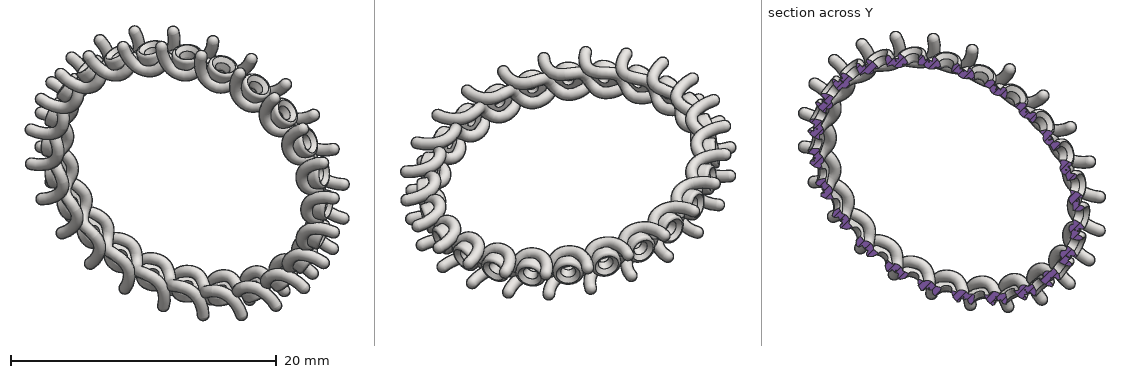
import cadquery as cq
import math

SETTING_COUNT = 24
WIRE_RADIUS = 0.45
TIP_RING_RADIUS = 12.295
LOOP_BOTTOM_RADIUS = 10.02
LOOP_RADIUS = 1.45
SIDE_OFFSET = 1.03
TIP_SHIFT_ANGLE = 0.35
BEND_ANGLE = 36
BEND_OFFSET = 0.76
CROSSING_RADIUS = 10.65
CLAW_START_ANGLE = 55
RIGHTWARD = cq.Vector(1, 0, 0)

COLLET_TOP = 11.43
COLLET_BOTTOM = 10.45
COLLET_OUTER_RADIUS = 1.15
COLLET_HOLE_RADIUS = 0.42
COLLET_ROUNDING = 0.25
THROAT_RADIUS = 0.57
THROAT_HEIGHT = 11.1
HOLE_TOP_HEIGHT = 10.6

PITCH_ANGLE = 360 / SETTING_COUNT
HALF_PITCH = PITCH_ANGLE / 2
CLAW_ANGLE = -HALF_PITCH - TIP_SHIFT_ANGLE
LOOP_CENTER_HEIGHT = LOOP_BOTTOM_RADIUS + LOOP_RADIUS


def polar_point(radius, angle, offset=0):
    """Point at a distance from the ring axis, at an angle clockwise from +Z."""
    turn = math.radians(angle)
    return cq.Vector(radius * math.sin(turn), offset, radius * math.cos(turn))


def half_wire():
    """Front half of a wire: bend from the middle plane, loop and rounded claw tip."""
    claw_tip = polar_point(TIP_RING_RADIUS, CLAW_ANGLE, -SIDE_OFFSET)
    loop_center = cq.Vector(0, -SIDE_OFFSET, LOOP_CENTER_HEIGHT)
    loop_start = loop_center + polar_point(LOOP_RADIUS, CLAW_START_ANGLE - 180)
    claw_direction = polar_point(1, CLAW_START_ANGLE - 90)
    loop_bottom = loop_center + polar_point(LOOP_RADIUS, 180)
    bend_inset = cq.Vector(0, SIDE_OFFSET - BEND_OFFSET, 0)
    bend_middle = loop_center + polar_point(LOOP_RADIUS, 180 - BEND_ANGLE) + bend_inset
    crossing = polar_point(CROSSING_RADIUS, HALF_PITCH)
    first_bend = cq.Edge.makeTangentArc(loop_bottom, RIGHTWARD, bend_middle)
    second_bend = cq.Edge.makeTangentArc(bend_middle, first_bend.tangentAt(1), crossing)
    loop = cq.Edge.makeTangentArc(loop_bottom, RIGHTWARD * -1, loop_start)
    claw = cq.Edge.makeTangentArc(loop_start, claw_direction, claw_tip)
    path = cq.Wire.assembleEdges([claw, loop, first_bend, second_bend])
    section = cq.Workplane(cq.Plane(claw_tip, (0, 1, 0), claw.tangentAt(1) * -1))
    rod = section.circle(WIRE_RADIUS).sweep(cq.Workplane(path))
    return rod.union(cq.Workplane().sphere(WIRE_RADIUS).translate(claw_tip))


def make_collet():
    """Stone cup with rounded outer edges, tapered seat, throat and through hole, revolved about Z."""
    rim_radius = COLLET_OUTER_RADIUS - COLLET_ROUNDING
    arc_inset = COLLET_ROUNDING * (1 - math.sqrt(0.5))
    arc_radius = COLLET_OUTER_RADIUS - arc_inset
    profile = (
        cq.Workplane("XZ")
        .moveTo(COLLET_OUTER_RADIUS, COLLET_BOTTOM + COLLET_ROUNDING)
        .lineTo(COLLET_OUTER_RADIUS, COLLET_TOP - COLLET_ROUNDING)
        .threePointArc((arc_radius, COLLET_TOP - arc_inset), (rim_radius, COLLET_TOP))
        .lineTo(THROAT_RADIUS, THROAT_HEIGHT)
        .lineTo(COLLET_HOLE_RADIUS, HOLE_TOP_HEIGHT)
        .lineTo(COLLET_HOLE_RADIUS, COLLET_BOTTOM)
        .lineTo(rim_radius, COLLET_BOTTOM)
        .threePointArc(
            (arc_radius, COLLET_BOTTOM + arc_inset),
            (COLLET_OUTER_RADIUS, COLLET_BOTTOM + COLLET_ROUNDING),
        )
        .close()
    )
    return profile.revolve(360, (0, 0, 0), (0, 1, 0))


def around_ring(body):
    """Copies of a body at every setting pitch around the ring."""
    copies = []
    for index in range(SETTING_COUNT):
        copies.append(body.rotate((0, 0, 0), (0, 1, 0), index * PITCH_ANGLE).val())
    return copies


collets = around_ring(make_collet())
front_wire = half_wire()
back_wire = front_wire.rotate((0, 0, 0), (0, 0, 1), 180)
wires = around_ring(front_wire) + around_ring(back_wire)
bodies = collets + wires
result = cq.Workplane(bodies[0].fuse(*bodies[1:]))